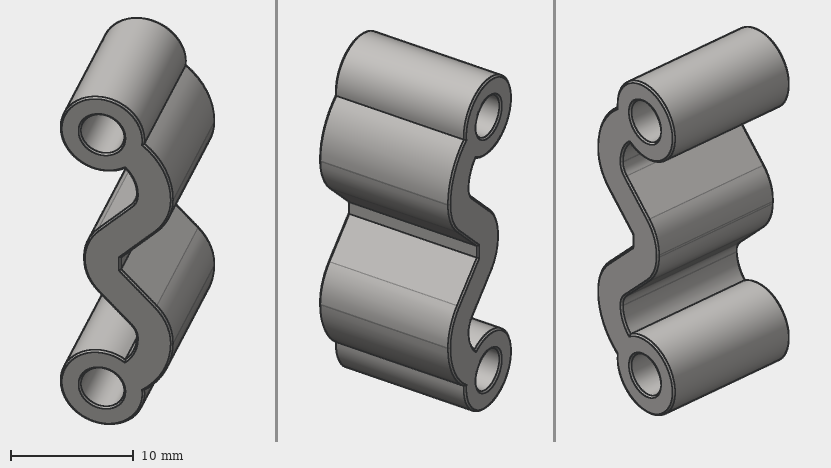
import cadquery as cq
import math

length = 31.65
depth = 12.6
width = 9.52
boss_diameter = 7.12
boss_radius = boss_diameter / 2
hole_radius = 1.85
edge_chamfer = 0.15
boss_z = length / 2 - boss_radius

bend_outer_x = width - boss_radius
bend_thickness = 3.07
bend_inner_x = bend_outer_x - bend_thickness
bend_z = 6.95
upper_outer_radius = 6.3
upper_inner_radius = upper_outer_radius - bend_thickness
upper_end_angle = 60
leg_angle = 45
leg_outer_offset = -1.0
leg_inner_offset = 3.4
lower_outer_radius = 4.75
lower_inner_radius = 1.58
waist_half_width = 1.58
waist_radius = 4.1


def arc_point(center, radius, angle):
    """Point (x, z) on a circle at an angle in degrees, measured from +X toward +Z."""
    a = math.radians(angle)
    return center[0] + radius * math.cos(a), center[1] + radius * math.sin(a)


def corner_center(face_x, offset, radius, side):
    """Center of an arc tangent to the plane x = face_x and the leg face z = x + offset.

    side is 1 for an arc bulging toward +X and -1 for one bulging toward -X.
    """
    tangent_length = radius * math.tan(math.radians(leg_angle / 2))
    return face_x - side * radius, face_x + offset + side * tangent_length


def web_half():
    """Upper half of the web, from the waist into the upper boss."""
    upper = (bend_outer_x - upper_outer_radius, bend_z)
    outer = corner_center(bend_outer_x, leg_outer_offset, lower_outer_radius, 1)
    inner = corner_center(bend_inner_x, leg_inner_offset, lower_inner_radius, 1)
    waist = corner_center(-waist_half_width, leg_inner_offset, waist_radius, -1)
    return (
        cq.Workplane("XZ", origin=(0, depth / 2, 0))
        .moveTo(waist_half_width, 0)
        .lineTo(waist_half_width, waist_half_width + leg_outer_offset)
        .lineTo(*arc_point(outer, lower_outer_radius, -leg_angle))
        .threePointArc(
            arc_point(outer, lower_outer_radius, -leg_angle / 2),
            arc_point(outer, lower_outer_radius, 0),
        )
        .lineTo(bend_outer_x, bend_z)
        .threePointArc(
            arc_point(upper, upper_outer_radius, upper_end_angle / 2),
            arc_point(upper, upper_outer_radius, upper_end_angle),
        )
        .lineTo(*arc_point(upper, upper_inner_radius, upper_end_angle))
        .threePointArc(
            arc_point(upper, upper_inner_radius, upper_end_angle / 2),
            (bend_inner_x, bend_z),
        )
        .lineTo(*arc_point(inner, lower_inner_radius, 0))
        .threePointArc(
            arc_point(inner, lower_inner_radius, -leg_angle / 2),
            arc_point(inner, lower_inner_radius, -leg_angle),
        )
        .lineTo(*arc_point(waist, waist_radius, 180 - leg_angle))
        .threePointArc(
            arc_point(waist, waist_radius, 180 - leg_angle / 2),
            arc_point(waist, waist_radius, 180),
        )
        .lineTo(-waist_half_width, 0)
        .close()
        .extrude(depth)
    )


def chamfer_ends(solid):
    """Chamfer every edge of the two flat end faces."""
    return solid.faces("<Y or >Y").chamfer(edge_chamfer)


def boss(z):
    """Bored boss along Y at height z."""
    return (
        cq.Workplane("XZ", origin=(0, depth / 2, 0))
        .center(0, z)
        .circle(boss_radius)
        .circle(hole_radius)
        .extrude(depth)
    )


upper_web = web_half()
web = chamfer_ends(upper_web.union(upper_web.mirror("XY")).clean())

result = web
for z in (boss_z, -boss_z):
    result = result.union(chamfer_ends(boss(z)))